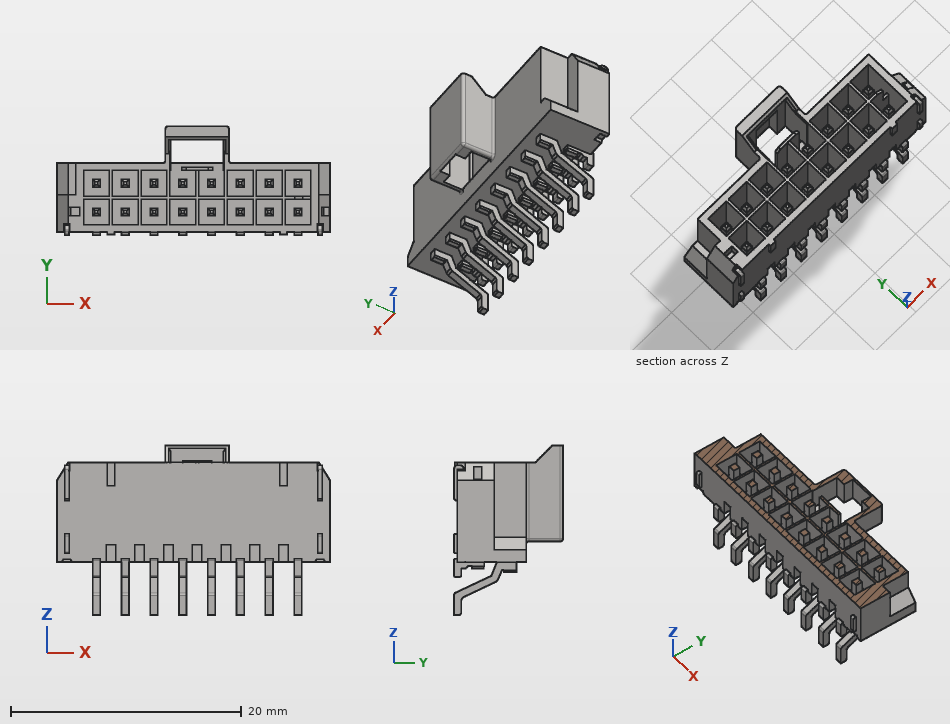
import cadquery as cq


columns = 8
pitch = 2.5
field_x = 0.32
row_y = [1.74, 4.24]
cell_size = 2.24
cell_floor_z = 2.0

housing_length = 23.74
housing_depth = 6.0
housing_height = 8.66
half_length = housing_length / 2
ear_depth = 3.22
ear_top_half = 10.88
ear_shoulder_z = 7.09
rear_half = 10.54
flange_z = 1.07
flange_top_z = 2.14
flange_top_half = 10.86

latch_width = 5.55
latch_back = 9.2
latch_bottom = 1.77
latch_top = 10.13
latch_lip_y = 8.26
opening_width = 4.57
opening_back = 8.0
opening_chamfer = 0.2
window_width = 2.54
window_top = 8.79
window_depth = 0.97
entry_relief = 0.2
outer_round = 0.28
root_round = 0.2

tongue_front = row_y[1] + cell_size / 2
tongue_thickness = 0.28
tongue_half = 1.35
tongue_top = 8.56
tongue_chamfer = 0.41

wall_gap_start = 9.5
wall_gap_chamfer = 0.69
wall_gap_floor = (cell_floor_z + housing_height) / 2

rib_offset = 3 * pitch
rib_width = 0.64
rib_height = 0.23
rib_bottom = 6.64
notch_width = 0.83
notch_height = 1.5
notch_depth = 1.0

clip_spacing = 22.0
clip_x = [-clip_spacing / 2, clip_spacing / 2]
clip_width = 0.4
proud = 0.29
clip_bevel = 0.15
clip_bend = 0.35
hook_top = 8.43
hook_bottom = 7.93
hook_reach = 0.58
hook_radius = 0.4
clip_end = 5.34
lower_clip_z = [0.76, 2.45]
recess_width = 0.5
recess_depth = 0.72
foot_notch_half = 0.3
foot_notch_flare = 0.15
foot_notch_height = 0.25
slot_offset = 0.13
slot_length = 1.0
slot_width = 0.72
slot_y = 1.79
slot_floor = 7.2
slot_ramp = 0.19
slot_ramp_drop = 0.6

pin_width = 0.68
pin_top = 6.5
pin_taper_inset = 0.21
pin_taper_length = 0.4
lead_width = 0.68
lead_inner = 0.37
tail_round = 0.15
pad_taper = 0.1

front_root_y = 2.37
front_root_z = -0.36
front_step_y = 0.95
front_step_run = 0.22
front_knee_z = -0.57
front_tail_z = -1.3
front_top_z = 0.3
front_pad_y = 1.27

rear_root_y = 5.15
rear_root_z = -0.71
rear_step_y = 3.9
rear_underside = [(3.55, -1.52), (3.37, -1.72), (0.5, -3.08)]
rear_heel_z = -3.3
rear_tail_z = -4.6
rear_bend_z = -2.72
rear_bend_round = 0.25
rear_upper_bend = (2.96, -1.19)
rear_neck_y = 3.44
rear_pad_y = 4.04
rear_pad_height = 0.16

column_x = [field_x + pitch * (i - (columns - 1) / 2) for i in range(columns)]
eps = 0.05


def box(x0, x1, y0, y1, z0, z1):
    return cq.Workplane("XY").box(x1 - x0, y1 - y0, z1 - z0, centered=False).translate((x0, y0, z0))


def extrude_y(points, y0, y1):
    """Prism of an XZ outline between two Y positions."""
    return cq.Workplane("XZ", origin=(0, y0, 0)).polyline(points).close().extrude(y0 - y1)


def extrude_x(points, x_center, width):
    """Prism of a YZ outline centred on an X position."""
    return cq.Workplane("YZ", origin=(x_center - width / 2, 0, 0)).polyline(points).close().extrude(width)


def housing_block():
    ears = extrude_y(
        [
            (-half_length, 0),
            (half_length, 0),
            (half_length, ear_shoulder_z),
            (ear_top_half, housing_height),
            (-ear_top_half, housing_height),
            (-half_length, ear_shoulder_z),
        ],
        0,
        ear_depth,
    )
    rear = box(field_x - rear_half, field_x + rear_half, ear_depth, housing_depth, 0, housing_height)
    flange = extrude_y(
        [
            (-half_length, 0),
            (half_length, 0),
            (half_length, flange_z),
            (flange_top_half, flange_top_z),
            (-flange_top_half, flange_top_z),
            (-half_length, flange_z),
        ],
        ear_depth,
        housing_depth,
    )
    return ears.union(rear).union(flange)


def add_latch(body):
    half = latch_width / 2
    slope_run = latch_top - housing_height
    outline = [
        (housing_depth - eps, latch_bottom),
        (latch_back, latch_bottom),
        (latch_back, latch_top),
        (latch_lip_y, latch_top),
        (latch_lip_y - slope_run, housing_height),
        (housing_depth - eps, housing_height),
    ]
    latch = extrude_x(outline, field_x, latch_width)
    latch = latch.edges("(>Y and |Z) or (<Z and (not <Y))").fillet(outer_round)
    body = body.union(latch)
    root = cq.selectors.BoxSelector(
        (field_x - half - eps, housing_depth - eps, latch_bottom - eps),
        (field_x + half + eps, housing_depth + eps, housing_height - eps),
    )
    return body.edges(root).fillet(root_round)


def cut_latch_opening(body):
    half = opening_width / 2
    below_latch = latch_bottom - root_round - eps
    body = body.cut(
        box(field_x - half, field_x + half, housing_depth, opening_back, below_latch, latch_top + eps)
    )
    body = body.cut(
        box(field_x - half, field_x + half, tongue_front, housing_depth + eps, cell_floor_z, latch_top)
    )
    body = body.cut(
        box(
            field_x - window_width / 2,
            field_x + window_width / 2,
            opening_back - eps,
            opening_back + window_depth,
            below_latch,
            window_top,
        )
    )
    slope_edges = cq.selectors.BoxSelector(
        (field_x - half - eps, housing_depth + eps, housing_height + eps),
        (field_x + half + eps, opening_back - eps, latch_top),
    )
    body = body.edges(slope_edges).edges("not(|X or |Y or |Z)").chamfer(opening_chamfer)
    mouth_half = (pitch + cell_size) / 2
    flat_end = latch_lip_y - (latch_top - housing_height)
    body = body.cut(
        box(
            field_x - mouth_half,
            field_x + mouth_half,
            tongue_front,
            flat_end,
            housing_height - entry_relief,
            housing_height + eps,
        )
    )
    tongue = extrude_y(
        [
            (field_x - tongue_half, cell_floor_z - eps),
            (field_x + tongue_half, cell_floor_z - eps),
            (field_x + tongue_half, tongue_top - tongue_chamfer),
            (field_x + tongue_half - tongue_chamfer, tongue_top),
            (field_x - tongue_half + tongue_chamfer, tongue_top),
            (field_x - tongue_half, tongue_top - tongue_chamfer),
        ],
        tongue_front,
        tongue_front + tongue_thickness,
    )
    return body.union(tongue)


def cut_cells(body):
    centers = [(x, y) for x in column_x for y in row_y]
    cells = (
        cq.Workplane("XY", origin=(0, 0, cell_floor_z))
        .pushPoints(centers)
        .rect(cell_size, cell_size)
        .extrude(housing_height)
    )
    return body.cut(cells)


def cut_wall_gap(body):
    gap_end = column_x[-1] + cell_size / 2
    gap = extrude_y(
        [
            (wall_gap_start, wall_gap_floor),
            (gap_end, wall_gap_floor),
            (gap_end, housing_height),
            (wall_gap_start - wall_gap_chamfer, housing_height),
            (wall_gap_start, housing_height - wall_gap_chamfer),
        ],
        row_y[0] + cell_size / 2,
        row_y[1] - cell_size / 2,
    )
    return body.cut(gap)


def add_face_ribs(body):
    for side in (-1, 1):
        x = field_x + side * rib_offset
        rib = box(x - rib_width / 2, x + rib_width / 2, -rib_height, eps, rib_bottom, housing_height)
        body = body.union(rib)
    return body


def cut_face_notches(body):
    for left, right in zip(column_x, column_x[1:]):
        x = (left + right) / 2
        notch = box(x - notch_width / 2, x + notch_width / 2, -eps, notch_depth, -eps, notch_height)
        body = body.cut(notch)
    return body


def cut_clip_seats(body):
    for x in clip_x:
        outer = x - recess_width / 2
        inner = x + recess_width / 2
        body = body.cut(box(outer, inner, -eps, recess_depth, hook_bottom, housing_height + eps))
        foot = extrude_y(
            [
                (x - foot_notch_half - foot_notch_flare, 0),
                (x + foot_notch_half + foot_notch_flare, 0),
                (x + foot_notch_half, foot_notch_height),
                (x - foot_notch_half, foot_notch_height),
            ],
            0,
            recess_depth,
        )
        body = body.cut(foot)
        slot_start = x + slot_offset
        slot = extrude_y(
            [
                (slot_start, slot_floor - slot_ramp_drop),
                (slot_start + slot_ramp, slot_floor),
                (slot_start + slot_length, slot_floor),
                (slot_start + slot_length, housing_height),
                (slot_start, housing_height),
            ],
            slot_y - slot_width / 2,
            slot_y + slot_width / 2,
        )
        body = body.cut(slot)
    return body


def hooked_clip(x):
    return (
        cq.Workplane("YZ", origin=(x - clip_width / 2, 0, 0))
        .moveTo(eps, clip_end)
        .lineTo(-proud + clip_bevel, clip_end)
        .lineTo(-proud, clip_end + clip_bevel)
        .lineTo(-proud, hook_top - clip_bend)
        .radiusArc((-proud + clip_bend, hook_top), clip_bend)
        .lineTo(hook_reach - hook_radius, hook_top)
        .radiusArc((hook_reach, hook_top - hook_radius), hook_radius)
        .lineTo(hook_reach, hook_bottom - eps)
        .lineTo(eps, hook_bottom - eps)
        .close()
        .extrude(clip_width)
    )


def lower_clip(x):
    half = clip_width / 2
    strip = box(x - half, x + half, -proud, eps, *lower_clip_z)
    return strip.edges("<Y and |X").fillet(clip_bevel)


def pin(x, y):
    shaft = box(
        x - pin_width / 2,
        x + pin_width / 2,
        y - pin_width / 2,
        y + pin_width / 2,
        cell_floor_z - eps,
        pin_top,
    )
    return shaft.faces(">Z").edges().chamfer(pin_taper_length, pin_taper_inset)


def pad(x, y0, y1, z0, z1):
    """Tapered foot under a lead, narrowing downwards and overlapping the lead above it."""
    half = lead_width / 2
    foot = box(x - half, x + half, y0, y1, z0, z1 + eps)
    return foot.edges("<Z and |Y").chamfer(z1 - z0, pad_taper)


def front_lead(x):
    lead = extrude_x(
        [
            (front_root_y, eps),
            (front_root_y, front_root_z),
            (front_step_y, front_root_z),
            (front_step_y - front_step_run, front_knee_z),
            (lead_inner, front_knee_z),
            (lead_inner, front_tail_z),
            (-proud, front_tail_z),
            (-proud, front_top_z),
            (eps, front_top_z),
            (eps, eps),
        ],
        x,
        lead_width,
    )
    lead = lead.edges("|X and (<Y or <Z)").fillet(tail_round)
    return lead.union(pad(x, front_pad_y, front_root_y - eps, front_knee_z, front_root_z))


def rear_lead(x):
    upper_knee, lower_knee, lower_heel = rear_underside
    lead = extrude_x(
        [
            (rear_root_y, eps),
            (rear_root_y, rear_root_z),
            (rear_step_y, rear_root_z),
            upper_knee,
            lower_knee,
            lower_heel,
            (lead_inner, rear_heel_z),
            (lead_inner, rear_tail_z + tail_round),
            (lead_inner - tail_round, rear_tail_z),
            (-proud, rear_tail_z),
            (-proud, rear_bend_z),
            rear_upper_bend,
            (rear_neck_y, 0),
            (rear_neck_y, eps),
        ],
        x,
        lead_width,
    )
    lead = lead.edges("|X and <Y").edges(">Z").fillet(rear_bend_round)
    return lead.union(pad(x, rear_pad_y, rear_root_y, rear_root_z - rear_pad_height, rear_root_z))


housing = housing_block()
housing = add_latch(housing)
housing = cut_cells(housing)
housing = cut_latch_opening(housing)
housing = cut_wall_gap(housing)
housing = add_face_ribs(housing)
housing = cut_face_notches(housing)
housing = cut_clip_seats(housing)

metal_parts = cq.Workplane("XY")

for clip_center in clip_x:
    metal_parts = metal_parts.add(hooked_clip(clip_center))
    metal_parts = metal_parts.add(lower_clip(clip_center))

for contact_x in column_x:
    for contact_y in row_y:
        metal_parts = metal_parts.add(pin(contact_x, contact_y))
    metal_parts = metal_parts.add(front_lead(contact_x))
    metal_parts = metal_parts.add(rear_lead(contact_x))

result = housing.union(metal_parts)